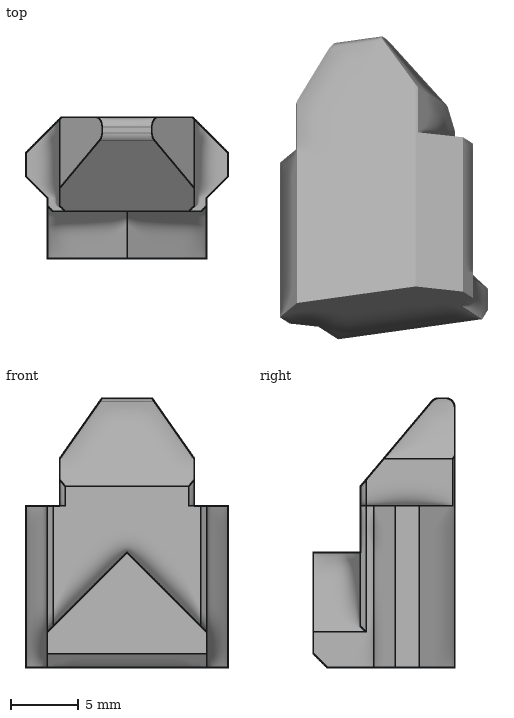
import cadquery as cq
import math


body_height = 12.0
body_depth = 7.0
body_half_width = 5.9
wing_half_width = 7.5
wing_back_depth = 2.65
back_half_width = wing_half_width - wing_back_depth
wing_front_depth = 4.4
front_edge_chamfer = 0.42

total_height = 20.0
head_half_width = 5.0
shoulder_height = 15.5
side_lean = 35.0
slope_foot_height = 13.45
front_lean = 40.0
crest_radius = 0.7

foot_depth = 10.5
foot_apex_height = 8.55
toe_chamfer = 1.05


def make_body():
    """Prism whose side wings have 45 degree slopes."""
    wing_root_depth = wing_front_depth + wing_half_width - body_half_width
    right_side = [
        (back_half_width, 0),
        (wing_half_width, -wing_back_depth),
        (wing_half_width, -wing_front_depth),
        (body_half_width, -wing_root_depth),
        (body_half_width, -(body_depth - front_edge_chamfer)),
        (body_half_width - front_edge_chamfer, -body_depth),
    ]
    left_side = [(-x, y) for x, y in reversed(right_side)]
    return cq.Workplane("XY").polyline(right_side + left_side).close().extrude(body_height)


def make_head():
    """Block with a sloped front, leaning sides, a rounded crest and cut corners."""
    slope_run = (total_height - slope_foot_height) * math.tan(math.radians(front_lean))
    crest_depth = body_depth - slope_run
    side_profile = [
        (0, 0),
        (-body_depth, 0),
        (-body_depth, slope_foot_height),
        (-crest_depth, total_height),
        (0, total_height),
    ]
    head = (
        cq.Workplane("YZ")
        .polyline(side_profile)
        .close()
        .extrude(head_half_width, both=True)
        .edges("|X and >Z")
        .fillet(crest_radius)
    )

    side_run = (total_height - shoulder_height) * math.tan(math.radians(side_lean))
    crest_half_width = head_half_width - side_run
    front_outline = [
        (-head_half_width, 0),
        (head_half_width, 0),
        (head_half_width, shoulder_height),
        (crest_half_width, total_height),
        (-crest_half_width, total_height),
        (-head_half_width, shoulder_height),
    ]
    taper = cq.Workplane("XZ").polyline(front_outline).close().extrude(body_depth)

    back_cut = head_half_width - back_half_width
    plan_outline = [
        (-back_half_width, 0),
        (back_half_width, 0),
        (head_half_width, -back_cut),
        (head_half_width, -(body_depth - front_edge_chamfer)),
        (head_half_width - front_edge_chamfer, -body_depth),
        (-(head_half_width - front_edge_chamfer), -body_depth),
        (-head_half_width, -(body_depth - front_edge_chamfer)),
        (-head_half_width, -back_cut),
    ]
    plan = cq.Workplane("XY").polyline(plan_outline).close().extrude(total_height)
    return head.intersect(taper).intersect(plan)


def make_foot():
    """Gable with 45 degree roof slopes, projecting in front of the body."""
    eave_height = foot_apex_height - body_half_width
    gable = [
        (-body_half_width, 0),
        (body_half_width, 0),
        (body_half_width, eave_height),
        (0, foot_apex_height),
        (-body_half_width, eave_height),
    ]
    root_depth = body_depth - front_edge_chamfer
    return (
        cq.Workplane("XZ", origin=(0, -root_depth, 0))
        .polyline(gable)
        .close()
        .extrude(foot_depth - root_depth)
        .edges("<Y and <Z")
        .chamfer(toe_chamfer)
    )


result = make_body().union(make_head()).union(make_foot())